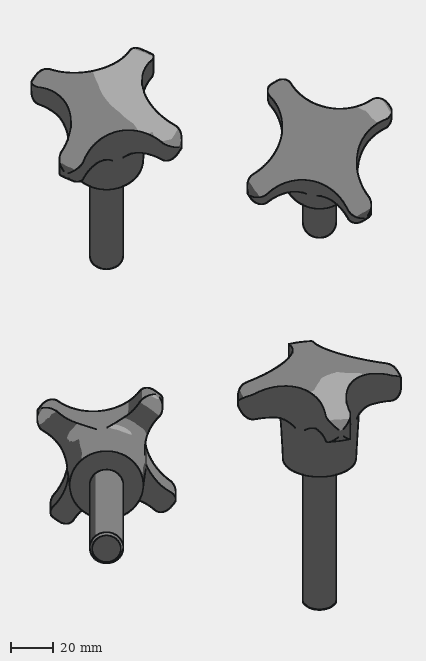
import cadquery as cq
import math

total_height = 130.0
span = 80.0
stud_diameter = 16.0
stud_length = 80.0
stud_chamfer = 1.2
hub_base_diameter = 35.0
hub_draft = 3.0
arm_bottom = 109.8
arm_width = 12.0
arm_edge_radius = 6.0
dome_radius = 100.0
hub_fillet = 5.3
flute_radius = 25.1
arm_count = 4

knob_radius = span / 2
arm_half_width = arm_width / 2
tip_center = knob_radius - arm_half_width
half_chord = (tip_center - arm_half_width) / math.sqrt(2)
center_to_chord = math.sqrt(flute_radius**2 - half_chord**2)
flute_center = (tip_center + arm_half_width) / 2 + center_to_chord / math.sqrt(2)


def make_body():
    """Revolved hub and domed disc, before the arms are formed."""
    draft = math.radians(hub_draft)
    hub_base_radius = hub_base_diameter / 2
    fillet_center_z = arm_bottom - hub_fillet
    wall_height = fillet_center_z - stud_length
    fillet_center_r = hub_base_radius + wall_height * math.tan(draft) + hub_fillet / math.cos(draft)

    def on_fillet(angle):
        return (
            fillet_center_r + hub_fillet * math.cos(angle),
            fillet_center_z + hub_fillet * math.sin(angle),
        )

    wall_angle = math.pi - draft
    top_angle = math.pi / 2

    dome_center_z = total_height - dome_radius
    rim_center_r = knob_radius - arm_edge_radius
    center_distance = dome_radius - arm_edge_radius
    rim_center_z = dome_center_z + math.sqrt(center_distance**2 - rim_center_r**2)
    dome_angle = math.asin(rim_center_r / center_distance)

    def on_dome(angle):
        return (dome_radius * math.sin(angle), dome_center_z + dome_radius * math.cos(angle))

    rim_mid_angle = (math.pi / 2 + dome_angle) / 2
    rim_mid = (
        rim_center_r + arm_edge_radius * math.sin(rim_mid_angle),
        rim_center_z + arm_edge_radius * math.cos(rim_mid_angle),
    )
    lower_center_z = arm_bottom + arm_edge_radius
    diagonal = arm_edge_radius * math.sqrt(0.5)

    profile = (
        cq.Workplane("XZ")
        .moveTo(0, stud_length)
        .lineTo(hub_base_radius, stud_length)
        .lineTo(*on_fillet(wall_angle))
        .threePointArc(on_fillet((wall_angle + top_angle) / 2), on_fillet(top_angle))
        .lineTo(rim_center_r, arm_bottom)
        .threePointArc(
            (rim_center_r + diagonal, lower_center_z - diagonal),
            (knob_radius, lower_center_z),
        )
        .lineTo(knob_radius, rim_center_z)
        .threePointArc(rim_mid, on_dome(dome_angle))
        .threePointArc(on_dome(dome_angle / 2), (0, total_height))
        .close()
    )
    return profile.revolve(360, (0, 0, 0), (0, 1, 0))


def make_cross():
    """Prism with four round-ended arms joined by concave flutes."""
    def turned(x, y, angle):
        return (
            x * math.cos(angle) - y * math.sin(angle),
            x * math.sin(angle) + y * math.cos(angle),
        )

    flute_mid = flute_center - flute_radius * math.sqrt(0.5)
    outline = cq.Workplane("XY").workplane(offset=stud_length)
    outline = outline.moveTo(tip_center, -arm_half_width)
    for index in range(arm_count):
        angle = index * 2 * math.pi / arm_count
        outline = (
            outline
            .threePointArc(turned(knob_radius, 0, angle), turned(tip_center, arm_half_width, angle))
            .threePointArc(
                turned(flute_mid, flute_mid, angle),
                turned(arm_half_width, tip_center, angle),
            )
        )
    return outline.close().extrude(total_height - stud_length)


def make_stud():
    """Plain stud, chamfered at its free end."""
    stud = cq.Workplane("XY").circle(stud_diameter / 2).extrude(stud_length)
    return stud.faces("<Z").chamfer(stud_chamfer)


knob = make_body().intersect(make_cross())
result = knob.union(make_stud())